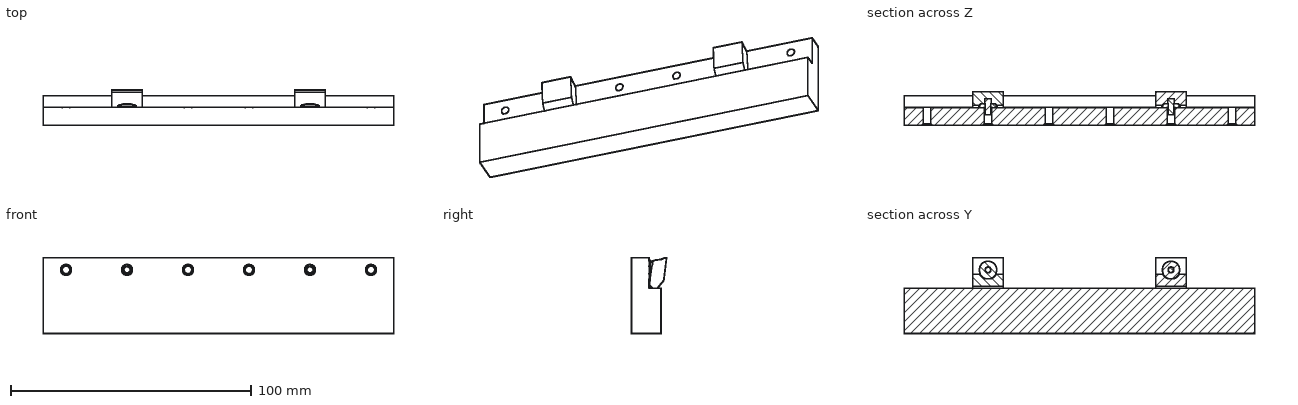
import cadquery as cq

LENGTH = 146.0
HEIGHT = 31.7
WALL = 7.5
DEPTH = 12.4
LEDGE_Z = 19.0

HOLE_COUNT = 6
HOLE_PITCH = 25.4
HOLE_Z = HEIGHT - 5.1
HOLE_DIAMETER = 3.2
SINK_DIAMETER = 4.5
SINK_DEPTH = (SINK_DIAMETER - HOLE_DIAMETER) / 2

INSERT_XS = [-1.5 * HOLE_PITCH, 1.5 * HOLE_PITCH]
INSERT_WIDTH = 12.9
INSERT_FILLET = 0.3
INSERT_SHOULDER = (8.9, HEIGHT - 1.5)
INSERT_PROFILE = [
    (14.8, HEIGHT),
    (13.9, HEIGHT - 0.07),
    (13.5, HEIGHT - 0.3),
    (12.4, HEIGHT - 0.7),
    (10.0, HEIGHT - 1.0),
    INSERT_SHOULDER,
    (WALL, LEDGE_Z + 1.3),
    (WALL + 1.3, LEDGE_Z),
    (11.0, LEDGE_Z),
    (13.6, LEDGE_Z + 3.2),
]

PIN_DIAMETER = 2.6
PIN_START_Y = 4.4
PIN_END_Y = 11.0

WASHER_DIAMETER = 7.9
WASHER_RIM_Y = WALL + 0.5
WASHER_WALL_BEVEL = 0.22
WASHER_BEVEL = 1.0
WASHER_END_Y = WASHER_RIM_Y + WASHER_BEVEL


def turned(x, outline):
    """Solid of revolution about the hole axis at x; outline holds (radius, Y) corners."""
    section = cq.Workplane("XY", origin=(x, 0, HOLE_Z)).polyline(outline).close()
    return section.revolve(360, (0, 0, 0), (0, 1, 0))


def extruded(profile, x, width):
    """Prism of a (Y, Z) profile, centred on x."""
    return cq.Workplane("YZ", origin=(x, 0, 0)).polyline(profile).close().extrude(width / 2, both=True)


def make_holder():
    profile = [
        (0, 0),
        (DEPTH, 0),
        (DEPTH, LEDGE_Z),
        (WALL, LEDGE_Z),
        (WALL, HEIGHT),
        (0, HEIGHT),
    ]
    holder = extruded(profile, 0, LENGTH)
    hole_outline = [
        (0, 0),
        (SINK_DIAMETER / 2, 0),
        (HOLE_DIAMETER / 2, SINK_DEPTH),
        (HOLE_DIAMETER / 2, WALL),
        (0, WALL),
    ]
    for i in range(HOLE_COUNT):
        x = (i - (HOLE_COUNT - 1) / 2) * HOLE_PITCH
        holder = holder.cut(turned(x, hole_outline))
    return holder


def make_pin(x):
    radius = PIN_DIAMETER / 2
    return turned(x, [(0, PIN_START_Y), (radius, PIN_START_Y), (radius, PIN_END_Y), (0, PIN_END_Y)])


def make_washer(x):
    bore = PIN_DIAMETER / 2
    rim = WASHER_DIAMETER / 2
    outline = [
        (bore, WALL),
        (rim - WASHER_WALL_BEVEL, WALL),
        (rim, WASHER_RIM_Y),
        (rim - WASHER_BEVEL, WASHER_END_Y),
        (bore, WASHER_END_Y),
    ]
    return turned(x, outline)


def make_insert(x, pin, washer):
    """Insert with matching recesses for its pin and washer."""
    insert = extruded(INSERT_PROFILE, x, INSERT_WIDTH)
    shoulder = cq.selectors.NearestToPointSelector((x, *INSERT_SHOULDER))
    insert = insert.edges(shoulder).fillet(INSERT_FILLET)
    return insert.cut(washer).cut(pin)


bodies = [make_holder().solids().val()]
for insert_x in INSERT_XS:
    pin = make_pin(insert_x)
    washer = make_washer(insert_x)
    insert = make_insert(insert_x, pin, washer)
    bodies += [insert.solids().val(), pin.val(), washer.val()]

result = cq.Compound.makeCompound(bodies)